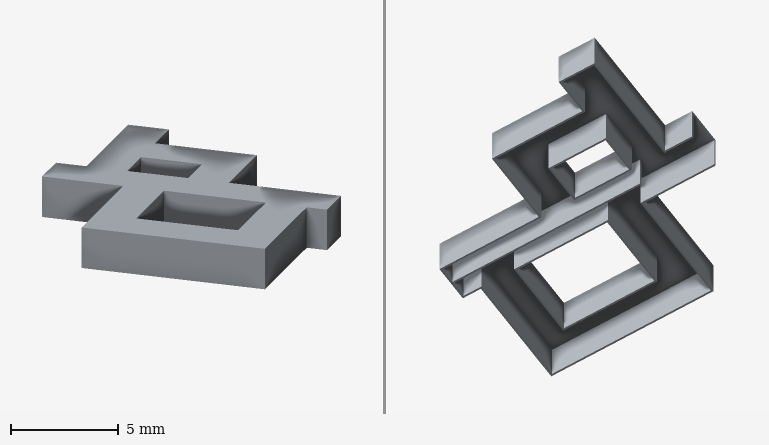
import cadquery as cq

length = 14.0
bar = length / 7
wall = 0.1
left_stub = 1.5
lower_left = 2 * bar
small_window_width = 1.5 * bar
small_window_depth = bar
large_window_width = 2.5 * bar
large_window_depth = 2 * bar

main_y = bar + large_window_depth
main_top = main_y + bar
upper_inner_left = left_stub + bar
upper_inner_right = upper_inner_left + small_window_width
upper_right = upper_inner_right + bar
upper_bar_y = main_top + small_window_depth
upper_top = upper_bar_y + bar
lower_inner_left = lower_left + bar
lower_inner_right = lower_inner_left + large_window_width
lower_right = lower_inner_right + bar

main_bar = (0, main_y, length, main_top)
frame_bars = [
    (left_stub, main_y, upper_inner_left, length),
    (left_stub, upper_bar_y, upper_right, upper_top),
    (upper_inner_right, main_y, upper_right, upper_top),
    (lower_left, 0, lower_inner_left, main_top),
    (lower_left, 0, lower_right, bar),
    (lower_inner_right, 0, lower_right, main_top),
]
bars = [main_bar] + frame_bars


def block(bounds, height, inset=0):
    """Box standing on Z = 0, its sides moved inward by the inset."""
    x_min, y_min, x_max, y_max = bounds
    width = x_max - x_min - 2 * inset
    depth = y_max - y_min - 2 * inset
    box = cq.Workplane("XY").box(width, depth, height, centered=False)
    return box.translate((x_min + inset, y_min + inset, 0))


def joined(blocks):
    """Union of all the given blocks."""
    body = blocks[0]
    for other in blocks[1:]:
        body = body.union(other)
    return body.clean()


outside = joined([block(bounds, bar) for bounds in bars])
channel = joined([block(bounds, bar - wall, wall) for bounds in bars])

end_bounds = (-wall, main_y, left_stub, main_top)
end_opening = block(end_bounds, bar - wall, wall)

main_middle = (main_y + main_top) / 2
divider_bounds = (upper_inner_left, main_middle - wall / 2, length, main_middle + wall / 2)
divider = block(divider_bounds, bar)

result = outside.cut(channel.union(end_opening)).union(divider)